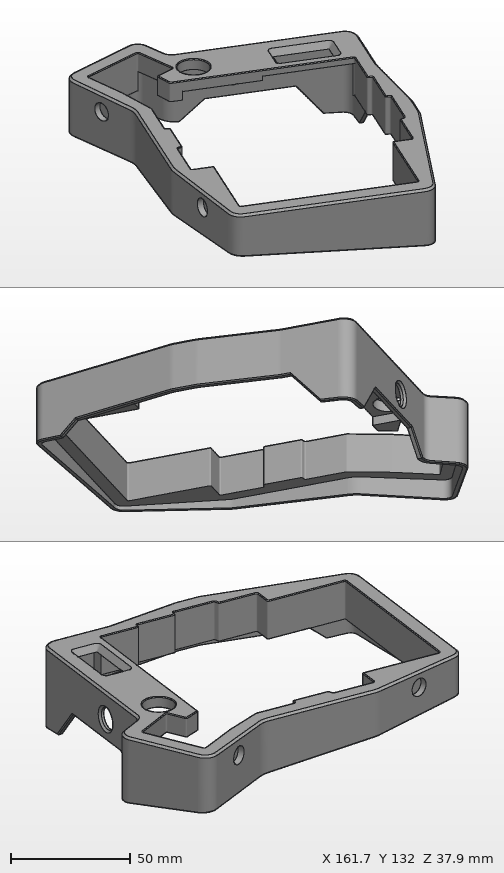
import cadquery as cq
import math

FRAME_RIGHT = 147.9
LEFT_WALL_BACK = 109.5
BACK_CREST = 114.5
BLANK_DEPTH = 45.0
TOP_CHAMFER = 1.0
LOWER_CHAMFER = 0.5
CORNER_RADIUS = 6.0
BEND_RADIUS = 10.0
BULGE_ROOT_RADIUS = 4.0

BULGE_ANGLE = math.radians(30)
BULGE_CORNER = (-15.95, 19.31)
BULGE_LENGTH = 44.82
BULGE_TIP = (
    BULGE_CORNER[0] + BULGE_LENGTH * math.sin(BULGE_ANGLE),
    BULGE_CORNER[1] - BULGE_LENGTH * math.cos(BULGE_ANGLE),
)
BULGE_ROOT = (0.0, BULGE_CORNER[1] - BULGE_CORNER[0] * math.tan(BULGE_ANGLE))

UNDERSIDE_ORIGIN_Z = -28.69
UNDERSIDE_RISE_X = math.tan(math.radians(4))
UNDERSIDE_FALL_Y = math.tan(math.radians(5))

OPENING_LEFT = 24.8
OPENING_RIGHT = 139.8
OPENING_SHOULDER = 102.1
OPENING_BACK = 102.1
BACK_STEP = 104.3
BACK_RECESS = 106.6
OPENING_FRONT = 7.6
FRONT_PAD = 9.9
RIGHT_BAY_BACK = 95.5
RIGHT_BAY_FRONT = 17.5
OPENING_FILLET = 0.6
OPENING_CHAMFER = 0.4

SKIRT_WALL = 2.2
RIM_DEPTH = 18.0
TAB_DEPTH = 9.0
PLATE_THICKNESS = 5.0
SLOT_PLATE_THICKNESS = 3.0
TAB_FRONT = 16.5
PLATE_FRONT = 27.0
SLOT_PLATE_FRONT = 62.0

NOTCH_DEPTH = 22.2
LEFT_NOTCH_FRONT = 43.4
LEFT_NOTCH_BACK = 83.2
LEFT_NOTCH_FRONT_ANGLE = 50.6
LEFT_NOTCH_BACK_ANGLE = 39.5
LEFT_NOTCH_REACH = 12.0
BACK_NOTCH_LEFT = 28.0
BACK_NOTCH_RIGHT = 126.8
BACK_NOTCH_LEFT_ANGLE = 42.2
BACK_NOTCH_RIGHT_ANGLE = 51.0
BACK_NOTCH_REACH = 25.0

SLOT_CENTER = (14.25, 83.4)
SLOT_SIZE = (14.2, 28.6)
SLOT_NARROWING = 2.1
SLOT_CORNER_RADIUS = 2.2
PLATE_HOLE_CENTER = (13.7, 35.1)
PLATE_HOLE_DIAMETER = 14.0
PLATE_HOLE_CHAMFER = 0.4

WALL_HOLE_DIAMETER = 10.0
WALL_HOLE_CHAMFER = 1.0
WALL_HOLE_Y = 55.8
WALL_HOLE_Z = -12.5
FRONT_HOLE_DIAMETER = 8.2
FRONT_HOLE_DEPTH = 3.0
LEFT_FRONT_HOLE_X = 26.7
LEFT_FRONT_HOLE_Z = -8.25
RIGHT_FRONT_HOLE_X = 123.1
RIGHT_FRONT_HOLE_Z = -7.35

FRONT_BEND_LEFT = (44.0, 0.0)
FRONT_BEND_RIGHT = (99.3, 0.0)
FRONT_RIGHT = (FRAME_RIGHT, 12.6)

OUTLINE = [
    ((0.0, LEFT_WALL_BACK), CORNER_RADIUS),
    ((32.4, LEFT_WALL_BACK), BEND_RADIUS),
    ((68.0, BACK_CREST), BEND_RADIUS),
    ((79.5, BACK_CREST), BEND_RADIUS),
    ((FRAME_RIGHT, 101.0), CORNER_RADIUS),
    (FRONT_RIGHT, CORNER_RADIUS),
    (FRONT_BEND_RIGHT, BEND_RADIUS),
    (FRONT_BEND_LEFT, BEND_RADIUS),
    (BULGE_TIP, CORNER_RADIUS),
    (BULGE_CORNER, CORNER_RADIUS),
    (BULGE_ROOT, BULGE_ROOT_RADIUS),
]

OPENING = [
    (OPENING_LEFT, OPENING_BACK),
    (43.6, OPENING_BACK),
    (43.6, BACK_STEP),
    (62.6, BACK_STEP),
    (62.6, BACK_RECESS),
    (82.7, BACK_RECESS),
    (83.7, BACK_STEP),
    (OPENING_SHOULDER, BACK_STEP),
    (OPENING_SHOULDER, RIGHT_BAY_BACK),
    (OPENING_RIGHT, RIGHT_BAY_BACK),
    (OPENING_RIGHT, RIGHT_BAY_FRONT),
    (OPENING_SHOULDER, RIGHT_BAY_FRONT),
    (OPENING_SHOULDER, OPENING_FRONT),
    (82.2, OPENING_FRONT),
    (81.4, FRONT_PAD),
    (64.0, FRONT_PAD),
    (63.5, OPENING_FRONT),
    (44.6, OPENING_FRONT),
    (27.3, -0.1),
    (9.6, -9.8),
    (-5.3, 16.4),
    (12.3, 26.4),
    (17.2, 18.0),
    (OPENING_LEFT, 21.5),
]


def rounded_outline():
    """Closed outer outline: each corner is replaced by a tangent arc."""
    points = [corner for corner, _ in OUTLINE]
    path = None
    for index, (corner, radius) in enumerate(OUTLINE):
        here = cq.Vector(*corner)
        back = (cq.Vector(*points[index - 1]) - here).normalized()
        ahead = (cq.Vector(*points[(index + 1) % len(points)]) - here).normalized()
        half_angle = back.getAngle(ahead) / 2
        tangent_length = radius / math.tan(half_angle)
        bisector = (back + ahead).normalized()
        start = here + back * tangent_length
        middle = here + bisector * (radius / math.sin(half_angle) - radius)
        end = here + ahead * tangent_length
        path = path.lineTo(start.x, start.y) if path else cq.Workplane("XY").moveTo(start.x, start.y)
        path = path.threePointArc((middle.x, middle.y), (end.x, end.y))
    return path.close()


def box_between(x_range, y_range, z_range):
    """Box spanning the given (low, high) ranges."""
    size = [high - low for low, high in (x_range, y_range, z_range)]
    corner = (x_range[0], y_range[0], z_range[0])
    return cq.Workplane("XY").box(*size, centered=False).translate(corner)


def underside_cutter():
    """Everything below the sloping underside."""
    reach = 250.0
    slope_normal = (-UNDERSIDE_RISE_X, UNDERSIDE_FALL_Y, 1.0)
    plane = cq.Plane(origin=(0, 0, UNDERSIDE_ORIGIN_Z), xDir=(1, 0, UNDERSIDE_RISE_X), normal=slope_normal)
    return cq.Workplane(plane).rect(2 * reach, 2 * reach).extrude(-reach)


def notch_profile(low_end, high_end, low_angle, high_angle):
    """Trapezoid that widens downwards from the notch ceiling."""
    height = BLANK_DEPTH - NOTCH_DEPTH
    return [
        (low_end, -NOTCH_DEPTH),
        (high_end, -NOTCH_DEPTH),
        (high_end + height * math.tan(math.radians(high_angle)), -BLANK_DEPTH),
        (low_end - height * math.tan(math.radians(low_angle)), -BLANK_DEPTH),
    ]


def left_notch():
    """Notch between the two feet of the left wall."""
    profile = notch_profile(LEFT_NOTCH_FRONT, LEFT_NOTCH_BACK, LEFT_NOTCH_FRONT_ANGLE, LEFT_NOTCH_BACK_ANGLE)
    return cq.Workplane("YZ").polyline(profile).close().extrude(LEFT_NOTCH_REACH)


def back_notch():
    """Notch between the two feet of the back wall."""
    profile = notch_profile(BACK_NOTCH_LEFT, BACK_NOTCH_RIGHT, BACK_NOTCH_LEFT_ANGLE, BACK_NOTCH_RIGHT_ANGLE)
    return cq.Workplane("XZ", origin=(0, BACK_CREST, 0)).polyline(profile).close().extrude(BACK_NOTCH_REACH)


def lower_rim(body, outline):
    """Edges of the body that run along the outline below the rim depth."""
    tolerance = 0.01

    def on_rim(edge):
        middle = edge.positionAt(0.5)
        highest = max(edge.startPoint().z, edge.endPoint().z)
        upright = abs(edge.tangentAt(0.5).z) > 1 - tolerance
        above = cq.Vertex.makeVertex(middle.x, middle.y, 0)
        return highest < -RIM_DEPTH and not upright and above.distance(outline) < tolerance

    return [edge for edge in body.edges().vals() if on_rim(edge)]


def outer_body():
    """Solid blank with its sloping underside, notches and chamfered outer edges."""
    body = rounded_outline().extrude(-BLANK_DEPTH)
    body = body.faces(">Z").edges().chamfer(TOP_CHAMFER)
    body = body.cut(underside_cutter()).cut(left_notch()).cut(back_notch())
    outline = rounded_outline().wires().val()
    return body.newObject(lower_rim(body, outline)).chamfer(LOWER_CHAMFER)


def main_opening():
    """Through opening with rounded corners."""
    opening = cq.Workplane("XY").polyline(OPENING).close().extrude(-BLANK_DEPTH)
    return opening.edges("|Z").fillet(OPENING_FILLET)


def underside_cavity():
    """Hollow inside the skirt, reaching higher under the left plate."""
    def inside(depth):
        return rounded_outline().offset2D(-SKIRT_WALL).extrude(depth - BLANK_DEPTH).translate((0, 0, -depth))

    cavity = inside(RIM_DEPTH)
    steps = [
        (TAB_DEPTH, TAB_FRONT),
        (PLATE_THICKNESS, PLATE_FRONT),
        (SLOT_PLATE_THICKNESS, SLOT_PLATE_FRONT),
    ]
    for depth, front in steps:
        zone = box_between((BULGE_CORNER[0], OPENING_LEFT), (front, LEFT_WALL_BACK), (-BLANK_DEPTH, -depth))
        cavity = cavity.union(inside(depth).intersect(zone))
    return cavity


def tapered_slot():
    """Rectangular slot that narrows evenly through the thin part of the plate."""
    taper = math.degrees(math.atan(SLOT_NARROWING / SLOT_PLATE_THICKNESS))
    outline = cq.Sketch().rect(*SLOT_SIZE).vertices().fillet(SLOT_CORNER_RADIUS)
    mouth = cq.Workplane("XY").center(*SLOT_CENTER).placeSketch(outline)
    return mouth.extrude(-SLOT_PLATE_THICKNESS, taper=taper)


def chamfered_hole(plane, diameter, depth, chamfer):
    """Cutter entering along the plane's negative normal, widened at its mouth."""
    hole = cq.Workplane(plane).circle(diameter / 2).extrude(-depth)
    mouth = cq.Workplane(plane).circle(diameter / 2 + chamfer)
    mouth = mouth.workplane(offset=-chamfer).circle(diameter / 2).loft(combine=True)
    return hole.union(mouth)


def front_hole(start, end, x, z):
    """Blind hole square to the sloping front face that runs from start to end."""
    slope = (end[1] - start[1]) / (end[0] - start[0])
    y = start[1] + slope * (x - start[0])
    plane = cq.Plane(origin=(x, y, z), xDir=(1, slope, 0), normal=(slope, -1, 0))
    return cq.Workplane(plane).circle(FRONT_HOLE_DIAMETER / 2).extrude(-FRONT_HOLE_DEPTH)


def ring_frame():
    """Hollowed frame with its main opening, chamfered around the top."""
    frame = outer_body().cut(underside_cavity()).cut(main_opening())
    opening_rim = frame.faces(">Z").val().innerWires()[0].Edges()
    return frame.newObject(opening_rim).chamfer(OPENING_CHAMFER)


plate_hole_plane = cq.Plane(origin=(*PLATE_HOLE_CENTER, 0), xDir=(1, 0, 0), normal=(0, 0, 1))
wall_hole_plane = cq.Plane(origin=(0, WALL_HOLE_Y, WALL_HOLE_Z), xDir=(0, 1, 0), normal=(-1, 0, 0))
result = (
    ring_frame()
    .cut(tapered_slot())
    .cut(chamfered_hole(plate_hole_plane, PLATE_HOLE_DIAMETER, PLATE_THICKNESS, PLATE_HOLE_CHAMFER))
    .cut(chamfered_hole(wall_hole_plane, WALL_HOLE_DIAMETER, SKIRT_WALL, WALL_HOLE_CHAMFER))
    .cut(front_hole(BULGE_TIP, FRONT_BEND_LEFT, x=LEFT_FRONT_HOLE_X, z=LEFT_FRONT_HOLE_Z))
    .cut(front_hole(FRONT_BEND_RIGHT, FRONT_RIGHT, x=RIGHT_FRONT_HOLE_X, z=RIGHT_FRONT_HOLE_Z))
)